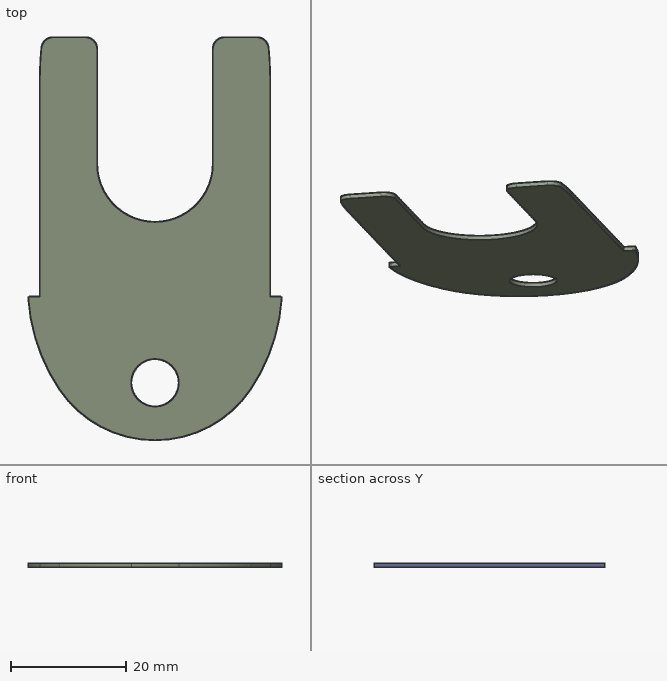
import cadquery as cq
import math

length = 70.0
thickness = 0.8
body_half_width = 20.0
shoulder_half_width = 22.015
shoulder_y = 25.0
shoulder_corner_radius = 0.4
end_radius = body_half_width
end_arc_half_angle = math.radians(56)

slot_radius = body_half_width / 2
slot_bottom_y = 37.95
hole_diameter = 8.2
hole_y = shoulder_y * 0.4

tip_curve_length = 7.5
tip_inset = 0.5
tip_corner_radius = 2.1


def make_half_blank():
    """Right half of the plate, without the slot and hole."""
    arc_join_x = end_radius * math.sin(end_arc_half_angle)
    arc_join_y = end_radius * (1 - math.cos(end_arc_half_angle))
    arc_mid_x = end_radius * math.sin(end_arc_half_angle / 2)
    arc_mid_y = end_radius * (1 - math.cos(end_arc_half_angle / 2))
    shoulder_corner_y = shoulder_y - shoulder_corner_radius
    return (
        cq.Workplane("XY")
        .moveTo(0, 0)
        .threePointArc((arc_mid_x, arc_mid_y), (arc_join_x, arc_join_y))
        .tangentArcPoint((shoulder_half_width, shoulder_corner_y), relative=False)
        .tangentArcPoint((shoulder_half_width - shoulder_corner_radius, shoulder_y), relative=False)
        .lineTo(body_half_width, shoulder_y)
        .lineTo(body_half_width, length - tip_curve_length)
        .tangentArcPoint((body_half_width - tip_inset, length), relative=False)
        .lineTo(0, length)
        .close()
        .extrude(thickness)
    )


def make_slot():
    """Open slot with a semicircular bottom."""
    slot_center_y = slot_bottom_y + slot_radius
    return (
        cq.Workplane("XY")
        .moveTo(-slot_radius, length)
        .lineTo(-slot_radius, slot_center_y)
        .threePointArc((0, slot_bottom_y), (slot_radius, slot_center_y))
        .lineTo(slot_radius, length)
        .close()
        .extrude(thickness)
    )


half_blank = make_half_blank()
plate = half_blank.union(half_blank.mirror("YZ")).clean()
plate = plate.cut(make_slot())

plate = plate.faces(">Y").edges("|Z").fillet(tip_corner_radius)

hole = cq.Workplane("XY").center(0, hole_y).circle(hole_diameter / 2).extrude(thickness)
result = plate.cut(hole)